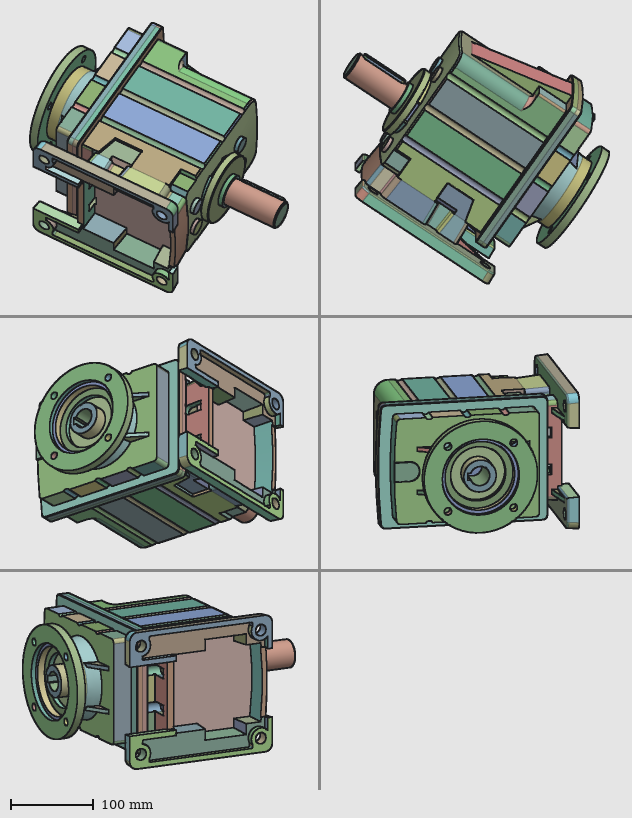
import cadquery as cq
import math


FLANGE_END = 11.0
NECK_END = 24.5
COVER_START = 43.5
COVER_END = 67.5
JOINT_X = 74.75
PLATE_END = 82.4
HOUSING_END = 226.3
PAD_END = 234.0
BEARING_CAP_END = 243.6
SHOULDER_END = 249.6
SHAFT_END = 320.0

FLANGE_DIA = 140.0
NECK_DIA = 96.0
NECK_BASE_DIA = 103.0
BORE_STEPS = [(95.0, 6.0), (86.0, 15.5), (68.0, 22.0)]
HUB_DIA = 40.0
HUB_FACE = 5.0
INPUT_BORE_DIA = 24.0
INPUT_BORE_END = 50.0
KEYWAY_WIDTH = 9.0
KEYWAY_TOP = 15.1
BOLT_CIRCLE = 115.0
BOLT_HOLE_DIA = 9.0
GUSSET_Z = 27.0
GUSSET_WIDTH = 5.0
GUSSET_START_Y, GUSSET_REACH = 35.5, 69.5

COVER_TOP, COVER_CROWN, COVER_BOTTOM, COVER_HALF = 94.4, 97.8, -81.5, 66.0
COVER_CORNER = 5.0
PLUG_X, PLUG_RADIUS, PLUG_CENTER_Y, PLUG_TOP = 40.6, 12.0, 78.8, 97.5
PLATE_TOP, PLATE_CROWN, PLATE_BOTTOM, PLATE_HALF = 109.0, 113.0, -96.7, 77.5
PLATE_CORNER = 6.0
PLATE_CHAMFER = 0.8
HOUSING_TOP, HOUSING_BOTTOM, HOUSING_HALF = 84.7, -85.0, 65.0
HOUSING_CROWN = 3.0
SKIRT_END, SKIRT_BOTTOM, SKIRT_FILLET = 96.8, -86.6, 3.0
HOUSING_FILLET = 17.0
HOUSING_END_CHAMFER = 2.0
GROOVE_YS = [54.5, 7.2, -40.1]
GROOVE_WIDTH, GROOVE_DEPTH = 8.4, 2.4
HOOD_START_Y = 110.5
HOOD_END_X = 211.6
HOOD_HALF = 30.0
LUG_END, LUG_TOP, LUG_FILLET = 122.0, 98.0, 3.0
LUG_BLEND = 6.0
POCKET_TOP_Y = -57.0
POCKET_FLOOR_Z = 61.0
POCKET_SLOPE_Y = -79.5
POCKET_ROOF_SLOPE = 3.0
NAME_POCKET_CORNER, NAME_POCKET_START, NAME_POCKET_END = 105.0, 112.0, 149.7
NAME_POCKET_SLOPE_START = 121.0
CORNER_POCKET_START = 204.0

OUTPUT_Y = -15.0
PAD_DIA = 78.0
PAD_NOTCH_HALF, PAD_NOTCH_FLOOR_HALF, PAD_NOTCH_Z = 17.0, 13.0, 33.0
BEARING_CAP_DIA = 90.0
CAP_CHAMFER = 1.0
SHOULDER_DIA = 42.0
SHAFT_DIA = 35.0
SHAFT_CHAMFER = 1.5
KEY_START, KEY_LENGTH, KEY_WIDTH, KEY_RISE = 254.0, 60.0, 10.0, 20.5
CAP_BOSS_DY, CAP_BOSS_Z, CAP_BOSS_RADIUS = 53.0, 21.0, 10.0

FOOT_BOTTOM = -130.0
FOOT_THICKNESS = 15.0
FOOT_START, FOOT_END = 39.7, 235.2
FOOT_HALF = 85.235
FOOT_INNER = 43.0
FOOT_CORNER = 10.0
FOOT_DRAFT = 4.0
FOOT_FILLET = 2.0
HOLE_DIA, HOLE_BOSS_RADIUS = 14.0, 13.0
HOLE_XS = [55.0, 219.4]
HOLE_Z = 67.5
RECESS_DEPTH = 8.0
RECESS_LIP_Z, RECESS_OUTER_Z = 49.8, 78.7
RECESS_LONG = (57.0, 229.0)
RECESS_SHORT = (66.5, 208.0)
RECESS_CORNER = 2.0
LIP_END = 103.0
WEB_TIP = -120.4
RECESS_FLOOR = FOOT_BOTTOM + RECESS_DEPTH
FOOT_TOP = FOOT_BOTTOM + FOOT_THICKNESS
WEB_DRAFT = 4.0
WEB_CORNER_FILLET, POST_FILLET, VALLEY_FILLET, BULGE_END_FILLET = 5.3, 3.4, 2.5, 7.4
WEB_START, WEB_END, WEB_CROWN = 98.9, 227.5, 3.0
POST_END, POST_HALF = 124.2, 61.0
VALLEY_HALF = 55.0
BULGE_START, BULGE_END = 144.2, 206.0
CAVITY_FLOOR = -95.0
CAVITY_START, CAVITY_END, CAVITY_HALF = 104.7, 223.7, 49.4
CAVITY_CROWN = 3.0
CAVITY_BULGE_START, CAVITY_BULGE_END, CAVITY_BULGE_HALF = 147.5, 203.7, 62.8
CAVITY_DRAFT, BULGE_DRAFT = 1.5, 6.0
RIB_Z, RIB_WIDTH, RIB_START, RIB_RISE = 51.0, 6.0, 57.0, 7.4
SLOT_Z, SLOT_WIDTH, SLOT_LOW_Y, SLOT_HIGH_Y = 23.0, 12.7, -108.0, -82.0
SLOT_END = 107.4


def box(x0, x1, y0, y1, z0, z1):
    """Box between two opposite corners."""
    return cq.Workplane("XY").box(x1 - x0, y1 - y0, z1 - z0, centered=False).translate((x0, y0, z0))


def mirror_pair(body):
    """The body together with its image across Z = 0."""
    return body.union(body.mirror("XY"))


def disc(x0, x1, diameter, y=0.0, z=0.0):
    """Cylinder along X."""
    return cq.Workplane("YZ", origin=(x0, y, z)).circle(diameter / 2).extrude(x1 - x0)


def crowned_slab(x0, x1, top, crown, bottom, half, corner):
    """Slab across X whose +Y side is a shallow arc."""
    return (
        cq.Workplane("YZ", origin=(x0, 0, 0))
        .moveTo(bottom, -half)
        .lineTo(top, -half)
        .threePointArc((crown, 0), (top, half))
        .lineTo(bottom, half)
        .close()
        .extrude(x1 - x0)
        .edges("|X")
        .fillet(corner)
    )


def side_grooves(x0, x1, half):
    """Shallow round-bottomed grooves along both Z sides."""
    radius = ((GROOVE_WIDTH / 2) ** 2 + GROOVE_DEPTH**2) / (2 * GROOVE_DEPTH)
    center_z = half - GROOVE_DEPTH + radius
    cutters = cq.Workplane("XY")
    for y in GROOVE_YS:
        cutters = cutters.union(disc(x0, x1, 2 * radius, y, center_z))
    return mirror_pair(cutters)


def make_input_cover():
    cover = crowned_slab(
        COVER_START, COVER_END, COVER_TOP, COVER_CROWN, COVER_BOTTOM, COVER_HALF, COVER_CORNER
    )
    cover = cover.cut(side_grooves(COVER_START, COVER_END, COVER_HALF))
    plug = disc(PLUG_X, COVER_START, 2 * PLUG_RADIUS, PLUG_CENTER_Y).union(
        box(PLUG_X, COVER_START, PLUG_CENTER_Y, PLUG_TOP, -PLUG_RADIUS, PLUG_RADIUS)
    )
    return cover.union(plug)


def make_motor_flange():
    body = disc(0, FLANGE_END, FLANGE_DIA).union(disc(FLANGE_END, NECK_END, NECK_DIA))
    cone = (
        cq.Workplane("YZ", origin=(NECK_END, 0, 0))
        .circle(NECK_DIA / 2)
        .workplane(offset=COVER_START - NECK_END)
        .circle(NECK_BASE_DIA / 2)
        .loft()
    )
    body = body.union(cone)
    gusset = (
        cq.Workplane("XY", origin=(0, 0, GUSSET_Z - GUSSET_WIDTH / 2))
        .polyline(
            [
                (NECK_END, 0),
                (NECK_END, GUSSET_START_Y),
                (COVER_START, GUSSET_REACH),
                (COVER_START, -GUSSET_REACH),
                (NECK_END, -GUSSET_START_Y),
            ]
        )
        .close()
        .extrude(GUSSET_WIDTH)
    )
    return body.union(mirror_pair(gusset))


def cut_motor_bore(body):
    for diameter, depth in BORE_STEPS:
        body = body.cut(disc(0, depth, diameter))
    hub = disc(HUB_FACE, BORE_STEPS[-1][1], HUB_DIA)
    body = body.union(hub).cut(disc(HUB_FACE, INPUT_BORE_END, INPUT_BORE_DIA))
    body = body.cut(box(HUB_FACE, INPUT_BORE_END, 0, KEYWAY_TOP, -KEYWAY_WIDTH / 2, KEYWAY_WIDTH / 2))
    for quarter in range(4):
        angle = math.radians(45 + 90 * quarter)
        y = BOLT_CIRCLE / 2 * math.cos(angle)
        z = BOLT_CIRCLE / 2 * math.sin(angle)
        body = body.cut(disc(0, FLANGE_END, BOLT_HOLE_DIA, y, z))
    return body


def make_joint_plates():
    front = crowned_slab(
        COVER_END, JOINT_X, PLATE_TOP, PLATE_CROWN, PLATE_BOTTOM, PLATE_HALF, PLATE_CORNER
    )
    rear = crowned_slab(
        JOINT_X, PLATE_END, PLATE_TOP, PLATE_CROWN, PLATE_BOTTOM, PLATE_HALF, PLATE_CORNER
    )
    front = front.faces("<X").edges().chamfer(PLATE_CHAMFER)
    rear = rear.faces(">X").edges().chamfer(PLATE_CHAMFER)
    return front.union(rear, clean=False)


def make_lug():
    """Block along the top of the housing, flowing into the rounded top edges at its end."""
    round_y = HOUSING_TOP - HOUSING_FILLET
    round_z = HOUSING_HALF - HOUSING_FILLET
    blend_end = LUG_END + LUG_BLEND
    block = (
        box(PLATE_END, blend_end, round_y, LUG_TOP, -HOUSING_HALF, HOUSING_HALF)
        .edges("|X and >Y")
        .fillet(LUG_FILLET)
    )
    lug = block.intersect(box(PLATE_END, LUG_END, round_y, LUG_TOP, -HOUSING_HALF, HOUSING_HALF))
    arc_offset = LUG_BLEND * (1 - math.sqrt(0.5))
    flare = (
        cq.Workplane("XY", origin=(0, round_y, round_z))
        .moveTo(LUG_END, 0)
        .lineTo(LUG_END, HOUSING_FILLET + LUG_BLEND)
        .threePointArc((LUG_END + arc_offset, HOUSING_FILLET + arc_offset), (blend_end, HOUSING_FILLET))
        .lineTo(blend_end, 0)
        .close()
        .revolve(360, (0, 0, 0), (1, 0, 0))
    )
    return lug.union(mirror_pair(flare.intersect(block)))


def make_housing():
    body = (
        cq.Workplane("XZ", origin=(0, HOUSING_TOP, 0))
        .moveTo(PLATE_END, -HOUSING_HALF)
        .lineTo(HOUSING_END, -HOUSING_HALF)
        .threePointArc((HOUSING_END + HOUSING_CROWN, 0), (HOUSING_END, HOUSING_HALF))
        .lineTo(PLATE_END, HOUSING_HALF)
        .close()
        .extrude(HOUSING_TOP - HOUSING_BOTTOM)
        .edges("|X and >Y")
        .fillet(HOUSING_FILLET)
    )
    body = body.faces(">X").edges("|Y").chamfer(HOUSING_END_CHAMFER)
    skirt = (
        box(PLATE_END, SKIRT_END, SKIRT_BOTTOM, HOUSING_BOTTOM + SKIRT_FILLET, -HOUSING_HALF, HOUSING_HALF)
        .edges("|X and <Y")
        .fillet(SKIRT_FILLET)
    )
    hood = (
        cq.Workplane("XY", origin=(0, 0, -HOOD_HALF))
        .polyline(
            [
                (PLATE_END, 0),
                (PLATE_END, HOOD_START_Y),
                (HOOD_END_X, HOUSING_TOP),
                (HOOD_END_X, 0),
            ]
        )
        .close()
        .extrude(2 * HOOD_HALF)
    )
    body = body.union(skirt).union(make_lug()).union(hood)
    return body.cut(side_grooves(PLATE_END, HOUSING_END + HOUSING_CROWN, HOUSING_HALF))


def side_pockets():
    """Two reliefs in each Z side of the housing, sloping down to the foot web."""
    outer = HOUSING_HALF + 1
    rear = HOUSING_END + HOUSING_CROWN
    name_pocket = (
        cq.Workplane("XY", origin=(0, 0, POCKET_FLOOR_Z))
        .polyline(
            [
                (NAME_POCKET_CORNER, HOUSING_BOTTOM),
                (NAME_POCKET_START, POCKET_TOP_Y),
                (NAME_POCKET_END, POCKET_TOP_Y),
                (NAME_POCKET_END, HOUSING_BOTTOM),
            ]
        )
        .close()
        .extrude(outer - POCKET_FLOOR_Z)
    )
    slope = [
        (POCKET_SLOPE_Y, POCKET_FLOOR_Z),
        (HOUSING_BOTTOM, VALLEY_HALF),
        (HOUSING_BOTTOM, outer),
    ]
    name_slope = (
        cq.Workplane("YZ", origin=(NAME_POCKET_SLOPE_START, 0, 0))
        .polyline(slope + [(POCKET_SLOPE_Y, outer)])
        .close()
        .extrude(NAME_POCKET_END - NAME_POCKET_SLOPE_START)
    )
    roof = [
        (POCKET_TOP_Y, outer),
        (POCKET_TOP_Y, HOUSING_HALF),
        (POCKET_TOP_Y - POCKET_ROOF_SLOPE, POCKET_FLOOR_Z),
    ]
    corner_pocket = (
        cq.Workplane("YZ", origin=(CORNER_POCKET_START, 0, 0))
        .polyline(roof + slope)
        .close()
        .extrude(rear - CORNER_POCKET_START)
    )
    return mirror_pair(name_pocket.union(name_slope).union(corner_pocket))


def make_output_side():
    pad = disc(HOUSING_END, PAD_END, PAD_DIA, OUTPUT_Y)
    for side in (-1, 1):
        boss = disc(
            HOUSING_END, PAD_END, 2 * CAP_BOSS_RADIUS, OUTPUT_Y + side * CAP_BOSS_DY, CAP_BOSS_Z
        )
        pad = pad.union(mirror_pair(boss))
    notch = (
        cq.Workplane("YZ", origin=(HOUSING_END, OUTPUT_Y, 0))
        .polyline(
            [
                (-PAD_NOTCH_FLOOR_HALF, PAD_NOTCH_Z),
                (-PAD_NOTCH_HALF, PAD_DIA / 2),
                (PAD_NOTCH_HALF, PAD_DIA / 2),
                (PAD_NOTCH_FLOOR_HALF, PAD_NOTCH_Z),
            ]
        )
        .close()
        .extrude(PAD_END - HOUSING_END)
    )
    pad = pad.cut(mirror_pair(notch))
    cap = disc(PAD_END, BEARING_CAP_END, BEARING_CAP_DIA, OUTPUT_Y).faces(">X").chamfer(CAP_CHAMFER)
    shoulder = disc(BEARING_CAP_END, SHOULDER_END, SHOULDER_DIA, OUTPUT_Y)
    shaft = disc(SHOULDER_END, SHAFT_END, SHAFT_DIA, OUTPUT_Y).faces(">X").chamfer(SHAFT_CHAMFER)
    key = (
        cq.Workplane("XZ", origin=(KEY_START + KEY_LENGTH / 2, OUTPUT_Y + KEY_RISE, 0))
        .slot2D(KEY_LENGTH, KEY_WIDTH)
        .extrude(KEY_RISE)
    )
    return pad.union(cap).union(shoulder).union(shaft).union(key)


def web_outline(y, growth):
    """Web outline at height y, grown outwards by the draft."""
    half_outline = [
        (WEB_START - growth, POST_HALF + growth),
        (POST_END + growth, POST_HALF + growth),
        (POST_END + growth, VALLEY_HALF + growth),
        (BULGE_START - growth, VALLEY_HALF + growth),
        (BULGE_START - growth, HOUSING_HALF + growth),
        (BULGE_END + growth, HOUSING_HALF + growth),
        (BULGE_END + growth, VALLEY_HALF + growth),
        (WEB_END + growth, VALLEY_HALF + growth),
    ]
    mirrored = [(x, -z) for x, z in reversed(half_outline)]
    outline = (
        cq.Workplane("XZ", origin=(0, y, 0))
        .polyline(half_outline)
        .threePointArc((WEB_END + WEB_CROWN + growth, 0), mirrored[0])
        .polyline(mirrored, includeCurrent=False)
        .close()
    )
    return outline.val()


def make_web():
    """Drafted wall between housing and foot, with corner posts and a bulge on each side."""
    growth = (HOUSING_BOTTOM - WEB_TIP) * math.tan(math.radians(WEB_DRAFT))
    profiles = [web_outline(HOUSING_BOTTOM, 0), web_outline(WEB_TIP, growth)]
    web = cq.Workplane(cq.Solid.makeLoft(profiles, True))
    rounded_corners = [
        (WEB_START, POST_HALF, WEB_CORNER_FILLET),
        (POST_END, POST_HALF, POST_FILLET),
        (POST_END, VALLEY_HALF, VALLEY_FILLET),
        (BULGE_START, VALLEY_HALF, VALLEY_FILLET),
        (BULGE_START, HOUSING_HALF, WEB_CORNER_FILLET),
        (BULGE_END, HOUSING_HALF, BULGE_END_FILLET),
        (BULGE_END, VALLEY_HALF, VALLEY_FILLET),
        (WEB_END, VALLEY_HALF, WEB_CORNER_FILLET),
    ]
    reach = growth / 2 + 0.5
    middle = (HOUSING_BOTTOM + WEB_TIP) / 2
    for x, half, radius in rounded_corners:
        for z in (-half, half):
            around = cq.selectors.BoxSelector(
                (x - reach, middle - reach, z - reach), (x + reach, middle + reach, z + reach)
            )
            web = web.edges(around).fillet(radius)
    return web


def make_foot():
    center_x = (FOOT_START + FOOT_END) / 2
    center_z = (FOOT_INNER + FOOT_HALF) / 2
    strip = (
        cq.Workplane("XZ", origin=(center_x, FOOT_BOTTOM, center_z))
        .rect(FOOT_END - FOOT_START, FOOT_HALF - FOOT_INNER)
        .extrude(-FOOT_THICKNESS, taper=FOOT_DRAFT)
    )
    strip = strip.faces(">Z").edges("not(>Y or <Y)").fillet(FOOT_CORNER)
    strip = strip.faces(">Y").edges().fillet(FOOT_FILLET)
    rib = (
        cq.Workplane("XY", origin=(0, 0, RIB_Z - RIB_WIDTH / 2))
        .polyline([(RIB_START, FOOT_TOP), (WEB_START, FOOT_TOP + RIB_RISE), (WEB_START, FOOT_TOP)])
        .close()
        .extrude(RIB_WIDTH)
    )
    return mirror_pair(strip.union(rib))


def foot_recess():
    """Underside recess of one foot strip, running round the two hole bosses."""
    y0, y1 = FOOT_BOTTOM, RECESS_FLOOR
    long_start, long_end = RECESS_LONG
    short_start, short_end = RECESS_SHORT
    recess = box(long_start, long_end, y0, y1, RECESS_LIP_Z, RECESS_OUTER_Z)
    recess = recess.cut(box(long_start, short_start, y0, y1, HOLE_Z, RECESS_OUTER_Z))
    recess = recess.cut(box(short_end, long_end, y0, y1, HOLE_Z, RECESS_OUTER_Z))
    recess = recess.edges("|Y and (>Z or <X or >X)").fillet(RECESS_CORNER)
    for x in HOLE_XS:
        boss = cq.Workplane("XZ", origin=(x, y0, HOLE_Z)).circle(HOLE_BOSS_RADIUS).extrude(-RECESS_DEPTH)
        recess = recess.cut(boss)
    opening = box(LIP_END, long_end, y0, y1, FOOT_INNER - RECESS_CORNER, RECESS_LIP_Z + RECESS_CORNER)
    return recess.union(opening)


def foot_cavity():
    main = (
        cq.Workplane("XZ", origin=(0, FOOT_BOTTOM, 0))
        .moveTo(CAVITY_START, -CAVITY_HALF)
        .lineTo(CAVITY_END, -CAVITY_HALF)
        .threePointArc((CAVITY_END + CAVITY_CROWN, 0), (CAVITY_END, CAVITY_HALF))
        .lineTo(CAVITY_START, CAVITY_HALF)
        .close()
        .extrude(FOOT_BOTTOM - CAVITY_FLOOR, taper=CAVITY_DRAFT)
    )
    bulge = (
        cq.Workplane("XZ", origin=((CAVITY_BULGE_START + CAVITY_BULGE_END) / 2, RECESS_FLOOR, 0))
        .rect(CAVITY_BULGE_END - CAVITY_BULGE_START, 2 * CAVITY_BULGE_HALF)
        .extrude(RECESS_FLOOR - CAVITY_FLOOR, taper=BULGE_DRAFT)
    )
    return main.union(bulge)


def web_slots():
    """Two rounded windows through the front web wall, open along the housing underside."""
    radius = SLOT_WIDTH / 2
    top = SLOT_HIGH_Y - radius
    slot = box(PLATE_END, SLOT_END, SLOT_LOW_Y, top, SLOT_Z - radius, SLOT_Z + radius)
    slot = slot.union(disc(PLATE_END, SLOT_END, SLOT_WIDTH, top, SLOT_Z))
    return mirror_pair(slot)


def foot_holes():
    holes = cq.Workplane("XZ", origin=(0, FOOT_TOP, 0))
    holes = holes.pushPoints([(x, z) for x in HOLE_XS for z in (-HOLE_Z, HOLE_Z)])
    return holes.circle(HOLE_DIA / 2).extrude(FOOT_THICKNESS)


result = make_housing().cut(side_pockets())
result = result.union(make_web()).union(make_foot())
result = result.cut(mirror_pair(foot_recess())).cut(foot_cavity()).cut(foot_holes()).cut(web_slots())
result = result.union(make_output_side())
result = result.union(cut_motor_bore(make_motor_flange().union(make_input_cover())))
result = result.union(make_joint_plates(), clean=False)